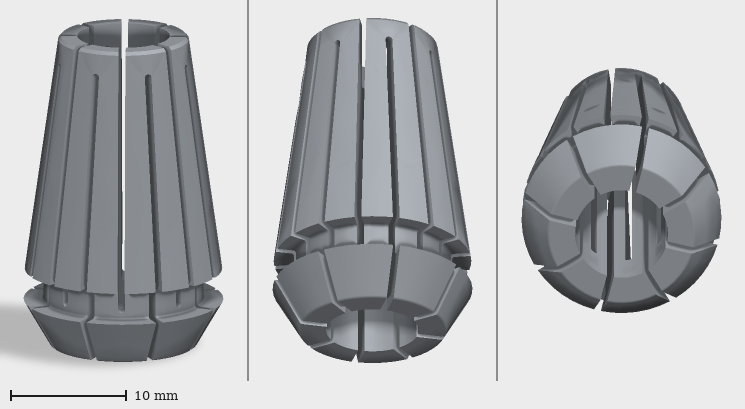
import cadquery as cq
import math

height = 27.5
bore_diameter = 8.0

flange_diameter = 17.25
flange_radius = flange_diameter / 2
flange_top = 4.0
flange_angle = 30.0
flange_bottom_radius = flange_radius - flange_top * math.tan(math.radians(flange_angle))
bottom_fillet = 0.28

neck_radius = 6.9
neck_fillet = 0.22
cone_bottom = 6.7

cone_radius = 8.52
cone_angle = 8.0
nose_chamfer = 0.28
nose_base = height - nose_chamfer
nose_radius = cone_radius - (nose_base - cone_bottom) * math.tan(math.radians(cone_angle))

slot_count = 8
slot_width = 0.6
lower_slot_tip = 25.52
upper_slot_tip = 4.55
slot_pitch = 360.0 / slot_count


def make_body():
    """Revolve the outer profile about Z and bore it through."""
    fillet_center_radius = neck_radius + neck_fillet
    fillet_offset = neck_fillet * (1 - math.sqrt(0.5))
    profile = (
        cq.Workplane("XZ")
        .lineTo(flange_bottom_radius, 0)
        .lineTo(flange_radius, flange_top)
        .lineTo(fillet_center_radius, flange_top)
        .threePointArc(
            (neck_radius + fillet_offset, flange_top + fillet_offset),
            (neck_radius, flange_top + neck_fillet),
        )
        .lineTo(neck_radius, cone_bottom - neck_fillet)
        .threePointArc(
            (neck_radius + fillet_offset, cone_bottom - fillet_offset),
            (fillet_center_radius, cone_bottom),
        )
        .lineTo(cone_radius, cone_bottom)
        .lineTo(nose_radius, nose_base)
        .lineTo(nose_radius - nose_chamfer, height)
        .lineTo(0, height)
        .close()
    )
    body = profile.revolve(360, (0, 0, 0), (0, 1, 0))
    body = body.faces("<Z").edges().fillet(bottom_fillet)
    bore = cq.Workplane("XY").circle(bore_diameter / 2).extrude(height)
    return body.cut(bore)


def make_slot(tip, open_end, angle):
    """Cutter from the axis outward, open at one end face and rounded at its tip."""
    half_width = slot_width / 2
    toward_open = math.copysign(1, open_end - tip)
    round_start = tip + toward_open * half_width
    cutter = (
        cq.Workplane("YZ")
        .moveTo(-half_width, open_end)
        .lineTo(-half_width, round_start)
        .threePointArc((0, tip), (half_width, round_start))
        .lineTo(half_width, open_end)
        .close()
        .extrude(flange_radius + slot_width)
    )
    return cutter.rotate((0, 0, 0), (0, 0, 1), angle)


result = make_body()
for index in range(slot_count):
    lower_angle = index * slot_pitch
    upper_angle = lower_angle + slot_pitch / 2
    result = result.cut(make_slot(lower_slot_tip, 0, lower_angle))
    result = result.cut(make_slot(upper_slot_tip, height, upper_angle))